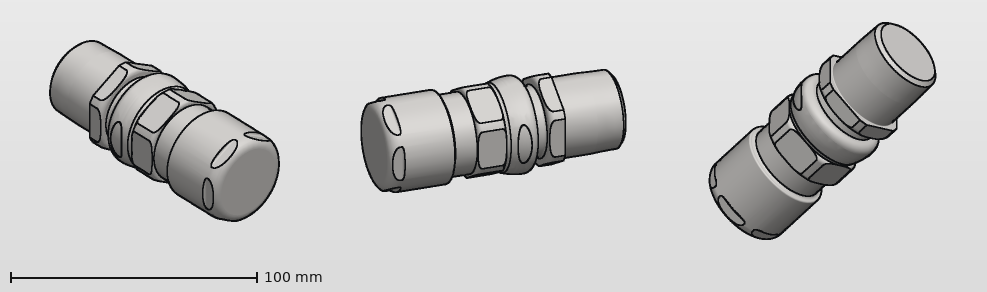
import cadquery as cq
import math


THREAD_TAPER_END_X = 12.9
NIPPLE_HEX_START_X = 27.6
NIPPLE_HEX_END_X = 34.4
NECK_WAIST_X = 35.6
NUT_START_X = 39.05
NUT_DOME_END_X = 51.25
NUT_END_X = 52.9
BODY_HEX_END_X = 65.3
SLEEVE_START_X = 74.7
SLEEVE_SHOULDER_X = 75.6
SLEEVE_END_X = 103.6

HEX_ACROSS_FLATS = 36.0
HEX_CORNER_RADIUS = 19.8

THREAD_RADIUS = 33.4 / 2
THREAD_TAPER = 1 / 16
THREAD_CHAMFER_LENGTH = 1.7
THREAD_END_FACE_RADIUS = 14.5
THREAD_ROOT_FILLET = 0.3
NIPPLE_HEX_ROUNDING = 2.5
NECK_START_RADIUS = 15.3
NECK_WAIST_RADIUS = 29.5 / 2
NECK_RADIUS = 30.5 / 2

NUT_ROUNDING = 3.5
NUT_CREST_X = NUT_START_X + NUT_ROUNDING
NUT_RADIUS = 20.25
NUT_DOME_ARC_RADIUS = 25.0
NUT_END_RADIUS = HEX_ACROSS_FLATS / 2
PAD_HEIGHT = 0.15
PAD_CENTRE_X = 45.7
PAD_HALF_WIDTH = 2.9
PAD_HALF_HEIGHT = 8.6

BODY_HEX_ROUNDING = 1.85
BODY_RADIUS = 17.0

SLEEVE_RADIUS = 19.5
SLEEVE_LIP_ARC_RADIUS = 2.0
SLEEVE_FRONT_ROUNDING = 0.7
SLEEVE_END_ROUNDING = 4.6
FLATS_START_X = 97.5
FLATS_FILLET = 0.95

JOINT_X = (NUT_START_X + NUT_END_X) / 2


def turned(profile):
    """Revolve a closed (x, radius) profile about the X axis."""
    return profile.close().revolve(360, (0, 0, 0), (1, 0, 0))


def cylinder(start_x, end_x, radius):
    return cq.Workplane("YZ", origin=(start_x, 0, 0)).circle(radius).extrude(end_x - start_x)


def hex_prism(start_x, end_x):
    corner_distance = HEX_ACROSS_FLATS / math.cos(math.radians(30))
    prism = cq.Workplane("YZ", origin=(start_x, 0, 0)).polygon(6, corner_distance)
    return prism.extrude(end_x - start_x).rotate((0, 0, 0), (1, 0, 0), 30)


def rounded_hex(start_x, end_x, rounding, end_selector):
    """Hexagon with truncated corners, rounded at the selected ends."""
    blank = cylinder(start_x, end_x, HEX_CORNER_RADIUS).faces(end_selector).edges().fillet(rounding)
    return blank.intersect(hex_prism(start_x, end_x))


def make_nipple():
    taper_length = THREAD_TAPER_END_X - THREAD_CHAMFER_LENGTH
    thread_tip_radius = THREAD_RADIUS - taper_length * THREAD_TAPER / 2
    fillet_centre = (NIPPLE_HEX_START_X - THREAD_ROOT_FILLET, THREAD_RADIUS + THREAD_ROOT_FILLET)
    thread = turned(
        cq.Workplane("XY")
        .lineTo(0, THREAD_END_FACE_RADIUS)
        .lineTo(THREAD_CHAMFER_LENGTH, thread_tip_radius)
        .lineTo(THREAD_TAPER_END_X, THREAD_RADIUS)
        .lineTo(fillet_centre[0], THREAD_RADIUS)
        .radiusArc((NIPPLE_HEX_START_X, fillet_centre[1]), -THREAD_ROOT_FILLET)
        .lineTo(NIPPLE_HEX_START_X, 0)
    )
    hexagon = rounded_hex(NIPPLE_HEX_START_X, NIPPLE_HEX_END_X, NIPPLE_HEX_ROUNDING, ">X")
    neck = turned(
        cq.Workplane("XY")
        .moveTo(NIPPLE_HEX_END_X, 0)
        .lineTo(NIPPLE_HEX_END_X, NECK_START_RADIUS)
        .radiusArc((NECK_WAIST_X, NECK_WAIST_RADIUS), -(NECK_WAIST_X - NIPPLE_HEX_END_X))
        .lineTo(NUT_START_X, NECK_RADIUS)
        .lineTo(JOINT_X, NECK_RADIUS)
        .lineTo(JOINT_X, 0)
    )
    return thread.union(hexagon).union(neck)


def dome_radius_at(x):
    """Outer radius of the nut on its domed stretch."""
    drop = NUT_DOME_ARC_RADIUS - math.sqrt(NUT_DOME_ARC_RADIUS**2 - (x - NUT_CREST_X) ** 2)
    return NUT_RADIUS - drop


def make_pads():
    """Two thin oval pads, on the -Y and +Y sides, that follow the dome of the nut."""
    dome_end_radius = dome_radius_at(NUT_DOME_END_X) + PAD_HEIGHT
    shell = turned(
        cq.Workplane("XY")
        .moveTo(NUT_CREST_X, NECK_RADIUS)
        .lineTo(NUT_CREST_X, NUT_RADIUS + PAD_HEIGHT)
        .radiusArc((NUT_DOME_END_X, dome_end_radius), NUT_DOME_ARC_RADIUS)
        .lineTo(NUT_DOME_END_X, NECK_RADIUS)
    )
    oval = (
        cq.Workplane("XZ")
        .center(PAD_CENTRE_X, 0)
        .ellipse(PAD_HALF_WIDTH, PAD_HALF_HEIGHT)
        .extrude(2 * NUT_RADIUS, both=True)
    )
    return shell.intersect(oval)


def make_nut():
    tail_length = NUT_END_X - NUT_DOME_END_X
    tail_height = dome_radius_at(NUT_DOME_END_X) - NUT_END_RADIUS
    tail_arc_radius = (tail_length**2 + tail_height**2) / (2 * tail_height)
    ring = turned(
        cq.Workplane("XY")
        .moveTo(NUT_START_X, NECK_RADIUS)
        .lineTo(NUT_START_X, NUT_RADIUS - NUT_ROUNDING)
        .radiusArc((NUT_CREST_X, NUT_RADIUS), NUT_ROUNDING)
        .radiusArc((NUT_DOME_END_X, dome_radius_at(NUT_DOME_END_X)), NUT_DOME_ARC_RADIUS)
        .radiusArc((NUT_END_X, NUT_END_RADIUS), -tail_arc_radius)
        .lineTo(NUT_END_X, NECK_RADIUS)
    )
    return ring.union(make_pads())


def make_body():
    spigot = cylinder(JOINT_X, NUT_END_X, NECK_RADIUS)
    hexagon = rounded_hex(NUT_END_X, BODY_HEX_END_X, BODY_HEX_ROUNDING, "<X or >X")
    barrel = cylinder(BODY_HEX_END_X, SLEEVE_START_X, BODY_RADIUS)
    return spigot.union(hexagon).union(barrel)


def make_sleeve():
    blank = turned(
        cq.Workplane("XY")
        .moveTo(SLEEVE_START_X, 0)
        .lineTo(SLEEVE_START_X, BODY_RADIUS)
        .radiusArc((SLEEVE_SHOULDER_X, SLEEVE_RADIUS - SLEEVE_FRONT_ROUNDING), -SLEEVE_LIP_ARC_RADIUS)
        .radiusArc((SLEEVE_SHOULDER_X + SLEEVE_FRONT_ROUNDING, SLEEVE_RADIUS), SLEEVE_FRONT_ROUNDING)
        .lineTo(SLEEVE_END_X - SLEEVE_END_ROUNDING, SLEEVE_RADIUS)
        .radiusArc((SLEEVE_END_X, SLEEVE_RADIUS - SLEEVE_END_ROUNDING), SLEEVE_END_ROUNDING)
        .lineTo(SLEEVE_END_X, 0)
    )
    flat_distance = HEX_ACROSS_FLATS / 2
    cutter = (
        cq.Workplane("XY")
        .box(SLEEVE_END_X - FLATS_START_X, SLEEVE_RADIUS, 2 * SLEEVE_RADIUS, centered=(False, False, True))
        .edges("<X and <Y")
        .fillet(FLATS_FILLET)
        .translate((FLATS_START_X, flat_distance, 0))
    )
    for side in range(6):
        blank = blank.cut(cutter.rotate((0, 0, 0), (1, 0, 0), 60 * side))
    return blank


nipple = make_nipple()
nut = make_nut()
body = make_body()
sleeve = make_sleeve()

result = cq.Compound.makeCompound([nipple.val(), nut.val(), body.val(), sleeve.val()])